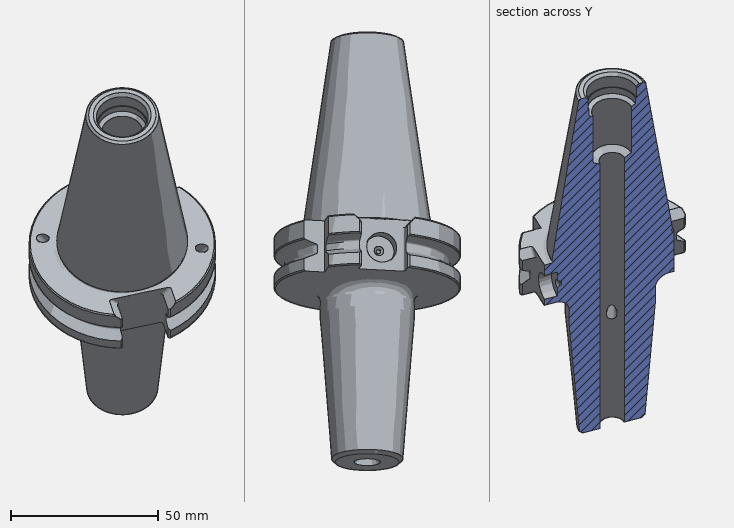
import cadquery as cq
import math


taper_length = 68.2
gauge_radius = 22.2
taper_slope = 7 / 48
taper_tip_radius = gauge_radius - taper_length * taper_slope
tip_chamfer_width = 0.9
tip_chamfer_height = 0.6
neck_radius = 21.8
neck_chamfer = gauge_radius - neck_radius
neck_fillet = 0.6
collar_radius = 23.3

flange_diameter = 63.3
flange_radius = flange_diameter / 2
flange_top = -1.11
flange_bottom = -19.1
flange_chamfer = 0.5
groove_centre = -11.1
groove_radius = 28.0
groove_floor_width = 3.1
groove_fillet = 0.6
groove_bevel_width = 0.3
groove_bevel_height = 0.5
groove_flank_angle = math.radians(30)
groove_flank_height = (flange_radius - groove_radius) * math.tan(groove_flank_angle)
groove_half_floor = groove_floor_width / 2
groove_half_mouth = groove_half_floor + groove_flank_height

nose_length = 80.0
nose_radius = 16.0
nose_root_radius = 15.9
nose_root_flare = 0.9
nose_fillet = 5.0
nose_straight_end = -29.4
nose_slope = math.tan(math.radians(4.5))
nose_tip_radius = nose_radius - (nose_length + nose_straight_end) * nose_slope
nose_tip_chamfer = 1.2

bore_chamfer_radius = 9.8
counterbore_radius = 8.7
counterbore_depth = 5.8
bore_chamfer = bore_chamfer_radius - counterbore_radius
drill_point_slope = math.tan(math.radians(31))
thread_radius = 8.5
pilot_radius = 7.0
thread_depth = 8.5
pilot_start_depth = thread_depth + (thread_radius - pilot_radius) * drill_point_slope
pilot_depth = 29.6
through_radius = 4.5
through_start_depth = pilot_depth + (pilot_radius - through_radius) * drill_point_slope

slot_half_width = 8.0
slot_floor_left = -24.9
slot_floor_right = 22.7
slot_top_chamfer = 2.8
slot_floor_fillet = 0.9
slot_mouth_chamfer = 0.7
slot_mouth_half_width = slot_half_width + slot_mouth_chamfer
slot_mouth_x = math.sqrt(flange_radius**2 - slot_mouth_half_width**2)

pocket_radius = 5.2
pocket_depth = 4.7
pocket_z = groove_centre
centre_hole_radius = 0.7
centre_hole_mouth_radius = 1.6
centre_hole_depth = 1.5

notch_offset = 18.5

coolant_radius = 1.8
coolant_x = 9.2
coolant_y = 25.5
coolant_tilt = math.radians(35)

overcut = 3.0

arc_mid_ratio = 1 - math.sqrt(0.5)


def make_body():
    """Revolve the taper, the flange and the nose as one solid."""
    neck_fillet_mid = neck_fillet * arc_mid_ratio
    nose_fillet_mid = nose_fillet * arc_mid_ratio
    profile = (
        cq.Workplane("XZ")
        .moveTo(0, taper_length)
        .lineTo(taper_tip_radius - tip_chamfer_width, taper_length)
        .lineTo(taper_tip_radius + tip_chamfer_height * taper_slope, taper_length - tip_chamfer_height)
        .lineTo(gauge_radius, 0)
        .lineTo(neck_radius, -neck_chamfer)
        .threePointArc(
            (neck_radius + neck_fillet_mid, neck_fillet_mid - neck_chamfer - neck_fillet),
            (neck_radius + neck_fillet, -neck_chamfer - neck_fillet),
        )
        .lineTo(collar_radius, flange_top)
        .lineTo(flange_radius - flange_chamfer, flange_top)
        .lineTo(flange_radius, flange_top - flange_chamfer)
        .lineTo(flange_radius, groove_centre + groove_half_mouth)
        .lineTo(flange_radius - groove_bevel_width, groove_centre + groove_half_mouth - groove_bevel_height)
        .lineTo(groove_radius, groove_centre + groove_half_floor)
        .lineTo(groove_radius, groove_centre - groove_half_floor)
        .lineTo(flange_radius, groove_centre - groove_half_mouth)
        .lineTo(flange_radius, flange_bottom + flange_chamfer)
        .lineTo(flange_radius - flange_chamfer, flange_bottom)
        .lineTo(nose_root_radius + nose_fillet, flange_bottom)
        .threePointArc(
            (nose_root_radius + nose_fillet_mid, flange_bottom - nose_fillet_mid),
            (nose_root_radius, flange_bottom - nose_fillet),
        )
        .lineTo(nose_radius, flange_bottom - nose_fillet - nose_root_flare)
        .lineTo(nose_radius, nose_straight_end)
        .lineTo(nose_tip_radius + nose_tip_chamfer * nose_slope, nose_tip_chamfer - nose_length)
        .lineTo(nose_tip_radius - nose_tip_chamfer, -nose_length)
        .lineTo(0, -nose_length)
        .close()
    )
    body = profile.revolve(360, (0, 0), (0, 1))
    groove_corners = cq.selectors.BoxSelector(
        (-groove_radius, -groove_radius, groove_centre - groove_floor_width),
        (groove_radius, groove_radius, groove_centre + groove_floor_width),
        boundingbox=False,
    )
    return body.edges(groove_corners).edges("%CIRCLE").fillet(groove_fillet)


def make_bore():
    """Revolve the stepped bore that runs through the whole part."""
    profile = (
        cq.Workplane("XZ")
        .moveTo(0, taper_length)
        .lineTo(bore_chamfer_radius, taper_length)
        .lineTo(counterbore_radius, taper_length - bore_chamfer)
        .lineTo(counterbore_radius, taper_length - counterbore_depth)
        .lineTo(thread_radius, taper_length - counterbore_depth)
        .lineTo(thread_radius, taper_length - thread_depth)
        .lineTo(pilot_radius, taper_length - pilot_start_depth)
        .lineTo(pilot_radius, taper_length - pilot_depth)
        .lineTo(through_radius, taper_length - through_start_depth)
        .lineTo(through_radius, -nose_length)
        .lineTo(0, -nose_length)
        .close()
    )
    return profile.revolve(360, (0, 0), (0, 1))


def make_slot(floor_x):
    """Driving slot open to the outside, on the side that the sign of floor_x gives."""
    side = math.copysign(1, floor_x)
    top_half_width = slot_half_width + slot_top_chamfer
    slot = (
        cq.Workplane("YZ", origin=(floor_x, 0, 0))
        .polyline([
            (-slot_half_width, flange_bottom),
            (slot_half_width, flange_bottom),
            (slot_half_width, flange_top - slot_top_chamfer),
            (top_half_width, flange_top),
            (top_half_width, 0),
            (-top_half_width, 0),
            (-top_half_width, flange_top),
            (-slot_half_width, flange_top - slot_top_chamfer),
        ])
        .close()
        .extrude(side * (flange_radius + overcut - abs(floor_x)))
    )
    floor_side = "<X" if side > 0 else ">X"
    return slot.faces(floor_side).edges("not |Y").fillet(slot_floor_fillet)


def make_slot_mouth(side):
    """Wedge that bevels the outer vertical edges of a driving slot."""
    inner_x = side * (slot_mouth_x - slot_mouth_chamfer)
    outer_x = side * (slot_mouth_x + overcut)
    outer_half_width = slot_mouth_half_width + overcut
    return (
        cq.Workplane("XY", origin=(0, 0, flange_bottom))
        .polyline([
            (inner_x, -slot_half_width),
            (outer_x, -outer_half_width),
            (outer_x, outer_half_width),
            (inner_x, slot_half_width),
        ])
        .close()
        .extrude(flange_top - flange_bottom)
    )


def make_slot_pocket():
    """Shallow round pocket with a countersunk centre hole in the floor of the -X slot."""
    floor = cq.Workplane("YZ", origin=(slot_floor_left, 0, pocket_z))
    pocket = floor.circle(pocket_radius).extrude(pocket_depth)
    centre_hole = floor.circle(centre_hole_radius).extrude(pocket_depth + centre_hole_depth)
    countersink = cq.Workplane(
        cq.Solid.makeCone(
            centre_hole_mouth_radius,
            centre_hole_radius,
            centre_hole_mouth_radius - centre_hole_radius,
            cq.Vector(slot_floor_left + pocket_depth, 0, pocket_z),
            cq.Vector(1, 0, 0),
        )
    )
    return pocket.union(centre_hole).union(countersink)


def make_notch():
    """Square notch through the full flange height."""
    size = flange_radius
    height = flange_top - flange_bottom
    return (
        cq.Workplane("XY", origin=(-notch_offset, notch_offset, flange_bottom))
        .rect(-size, size, centered=False)
        .extrude(height)
    )


def make_coolant_hole(side):
    """Hole that leans towards the axis and ends on the axis, inside the bore."""
    start = cq.Vector(side * coolant_x, side * coolant_y, flange_top)
    radial = math.hypot(coolant_x, coolant_y)
    end = cq.Vector(0, 0, flange_top - radial / math.tan(coolant_tilt))
    direction = (end - start).normalized()
    return cq.Workplane(
        cq.Solid.makeCylinder(
            coolant_radius,
            (end - start).Length + overcut,
            start - direction * overcut,
            direction,
        )
    )


result = make_body().cut(make_bore()).cut(make_notch()).cut(make_slot_pocket())
for floor_x in (slot_floor_left, slot_floor_right):
    result = result.cut(make_slot(floor_x))
for side in (-1, 1):
    result = result.cut(make_slot_mouth(side)).cut(make_coolant_hole(side))